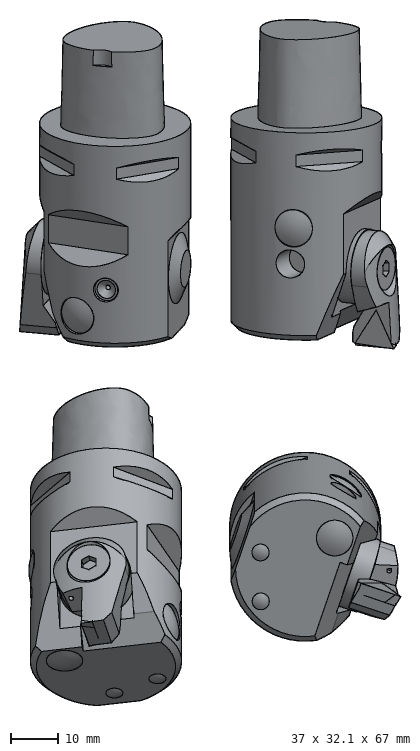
import cadquery as cq
import math


head_radius = 16.0
head_length = 45.1
bottom_chamfer = 1.3
reach = 2 * head_radius

shank_length = 19.0
shank_mean_radius = 11.0
shank_lobe = 0.75
shank_taper = 1 / 40
shank_points = 72
key_radius = 6.1 / 2
key_depth = 3.35
key_floor = 8.9

grip_distance = 14.15
grip_top = -4.8
grip_bottom = -7.3
grip_slope = 30
grip_angles = (45, 135, 225, 315)

flat_distance = 13.0
flat_top = -17.95
wrench_bottom = -24.2
wrench_angle = 260
dial_flat_distance = 13.95
dial_flat_top = -22.5
flat_slope = 45

axis_z = -31.0
ramp_angle = 18.9
steep_ramp_angle = 32.0
steep_ramp_start = -39.45
steep_ramp_edge_y = 3.55

slide_radius = 16.0 / 2
slide_seat_x = -9.65
arm_back_x = -14.1
arm_radius = 7.85
arm_tilt = 3.6
arm_crown_radius = 15.4
arm_crown_x = -19.4
arm_rim_x = -16.5
arm_rim_angle = 52
arm_rim_tilt = 6
arm_limit_x = -22.8
blade_back_x = -11.4
heel_top_z = -40.0
heel_bend = (-11.65, -43.8)
heel_bottom_z = -45.1
toe_bevel_top_z = -47.2
toe_bevel_bottom = (-12.05, -47.7)
blade_side_y = 1.2
blade_flank_angle = 11.5
blade_shoulder_z = -45.0
blade_foot = (-3.5, -47.2)
blade_tip_gap = 0.1
cheek_angle = 20
cheek_middle = (5.7, -38.0)
chin_corner_y = 4.5
chin_front_z = -38.1
chin_front_x = -19.4
chin_back_z = -39.9
coolant_hole_radius = 1.0 / 2
coolant_hole_x = -17.4
coolant_hole_y = 4.0
coolant_hole_top_z = -35.9

insert_edge = 9.05
insert_thickness = 2.35
insert_relief = 7
insert_lift = 3
insert_tip_x = -21.0
insert_tip_z = shank_length - 67

screw_radius = 9.2 / 2
screw_face_x = -18.6
screw_length = 2.7
socket_across_flats = 3.1
socket_depth = 1.7

plug_crown_radius = 9.4
plug_length = 4.0
side_plug_radius = 8.05 / 2
side_plug_offset = 15
front_plug_apex = 16.15
front_plug_z = -38.45
rear_plug_apex = 16.35
rear_plug_z = -20.7
side_plug_places = (
    (front_plug_apex, 270 - side_plug_offset, front_plug_z),
    (rear_plug_apex, 90 + side_plug_offset, rear_plug_z),
)
bottom_plug_radius = 7.7 / 2
bottom_plug_center = (-3.8, 8.2)
bottom_plug_rise = 0.8
button_radius = 3.6 / 2
button_rise = 0.5
button_centers = ((6.6, -9.8), (10.05, 0.2))

side_hole_radius = 6 / 2
side_hole_x = -3.4
side_hole_z = -28.4
side_hole_floor_y = 9.4

dial_radius = 7.6
dial_face_radius = 3.95
dial_face_x = 15.55
dial_seat_x = 12.6

nozzle_x = 2.5
nozzle_z = -32.0
nozzle_bore_radius = 5.2 / 2
nozzle_radius = 5.0 / 2
nozzle_mouth_radius = 2.0
nozzle_orifice_radius = 1.0 / 2
nozzle_face_y = -15.3
nozzle_cone_depth = 1.35
nozzle_length = 3.35


def cylinder(radius, start, direction, length):
    return cq.Workplane(cq.Solid.makeCylinder(radius, length, cq.Vector(*start), cq.Vector(*direction)))


def prism_along_y(points, y_start, y_end):
    """Extrude an (x, z) outline from y_start to y_end."""
    plane = cq.Workplane("XZ", origin=(0, y_start, 0))
    return plane.polyline(points).close().extrude(y_start - y_end)


def turned(points):
    """Revolve an (r, z) outline about the Z axis."""
    return cq.Workplane("XZ").polyline(points).close().revolve(360, (0, 0), (0, 1))


def domed_plug(radius, apex, crown_radius, length):
    """Round plug along Z with a spherical end that peaks at height apex."""
    rim = apex - crown_radius + math.sqrt(crown_radius**2 - radius**2)
    half_angle = math.asin(radius / crown_radius) / 2
    mid_r = crown_radius * math.sin(half_angle)
    mid_z = apex - crown_radius + crown_radius * math.cos(half_angle)
    profile = cq.Workplane("XZ").moveTo(0, apex - length).lineTo(radius, apex - length).lineTo(radius, rim)
    return profile.threePointArc((mid_r, mid_z), (0, apex)).close().revolve(360, (0, 0), (0, 1))


def aim_outward(shape, angle, z):
    """Turn a shape on the Z axis so that +Z points radially outward at the given angle and height."""
    return shape.rotate((0, 0, 0), (0, 1, 0), 90).rotate((0, 0, 0), (0, 0, 1), angle).translate((0, 0, z))


def flat_cutter(distance, top, bottom, slope, angle):
    """Cutter for a flat facing the given direction, with sloping runouts above and below."""
    depth = reach - distance
    rise = depth * math.tan(math.radians(slope))
    outline = [(distance, bottom), (distance, top), (reach, top + rise), (reach, bottom - rise)]
    return prism_along_y(outline, -reach, reach).rotate((0, 0, 0), (0, 0, 1), angle)


def shank_outline(mean_radius):
    """Three-lobed curve of constant width, with one lobe toward +Y."""
    points = []
    for i in range(shank_points):
        t = 2 * math.pi * i / shank_points
        along = mean_radius * math.cos(t) + shank_lobe * (2 * math.cos(2 * t) - math.cos(4 * t))
        across = mean_radius * math.sin(t) - shank_lobe * (2 * math.sin(2 * t) + math.sin(4 * t))
        points.append(cq.Vector(-across, along))
    return cq.Wire.assembleEdges([cq.Edge.makeSpline(points, periodic=True)])


def make_shank():
    base = shank_outline(shank_mean_radius)
    top = shank_outline(shank_mean_radius - shank_taper * shank_length)
    shank = cq.Workplane(cq.Solid.makeLoft([base, top.translate(cq.Vector(0, 0, shank_length))], True))
    key_start = (0, -key_floor - key_radius, shank_length - key_depth)
    return shank.cut(cylinder(key_radius, key_start, (0, 0, 1), key_depth))


def ramp_cutter(start_x, start_z, angle, y_start, y_end):
    """Remove what lies on the -X side of a plane leaning inward below (start_x, start_z)."""
    end_x = start_x + reach * math.tan(math.radians(angle))
    outline = [(start_x, start_z), (end_x, start_z - reach), (-reach, start_z - reach), (-reach, start_z)]
    return prism_along_y(outline, y_start, y_end)


def slide_seat_cutter():
    """Round seat for the slide, opened downward by a slot of the same width."""
    seat = cylinder(slide_radius, (slide_seat_x, 0, axis_z), (-1, 0, 0), reach)
    slot_start = cq.Vector(slide_seat_x - reach, -slide_radius, axis_z - reach)
    return seat.union(cq.Workplane(cq.Solid.makeBox(reach, 2 * slide_radius, reach, slot_start)))


def make_housing():
    head = cylinder(head_radius, (0, 0, -head_length), (0, 0, 1), head_length)
    head = head.faces("<Z").chamfer(bottom_chamfer)
    for angle in grip_angles:
        head = head.cut(flat_cutter(grip_distance, grip_top, grip_bottom, grip_slope, angle))
    below = -head_length - reach
    head = head.cut(flat_cutter(flat_distance, flat_top, below, flat_slope, 180))
    head = head.cut(flat_cutter(flat_distance, flat_top, wrench_bottom, flat_slope, wrench_angle))
    head = head.cut(flat_cutter(dial_flat_distance, dial_flat_top, below, flat_slope, 0))

    head = head.cut(ramp_cutter(-flat_distance, axis_z, ramp_angle, -reach, reach))
    steep_x = -flat_distance + (axis_z - steep_ramp_start) * math.tan(math.radians(ramp_angle))
    head = head.cut(ramp_cutter(steep_x, steep_ramp_start, steep_ramp_angle, -reach, steep_ramp_edge_y))
    head = head.cut(slide_seat_cutter())

    side_hole_start = (side_hole_x, side_hole_floor_y, side_hole_z)
    head = head.cut(cylinder(side_hole_radius, side_hole_start, (0, 1, 0), reach))
    nozzle_floor_y = nozzle_face_y + nozzle_length
    head = head.cut(cylinder(nozzle_bore_radius, (nozzle_x, nozzle_floor_y, nozzle_z), (0, -1, 0), reach))
    head = head.cut(cylinder(dial_radius, (dial_seat_x, 0, axis_z), (1, 0, 0), reach))

    for apex, angle, z in side_plug_places:
        bore = cylinder(side_plug_radius, (0, 0, apex - plug_length), (0, 0, 1), reach)
        head = head.cut(aim_outward(bore, angle, z))
    bottom_bore_start = (*bottom_plug_center, -head_length - bottom_plug_rise + plug_length)
    head = head.cut(cylinder(bottom_plug_radius, bottom_bore_start, (0, 0, -1), reach))

    button_crown = (button_radius**2 + button_rise**2) / (2 * button_rise)
    button = domed_plug(button_radius, button_rise, button_crown, 2 * button_rise)
    button = button.rotate((0, 0, 0), (1, 0, 0), 180)
    for x, y in button_centers:
        head = head.union(button.translate((x, y, -head_length)))
    return head.union(make_shank())


def make_slide():
    return cylinder(slide_radius, (slide_seat_x, 0, axis_z), (-1, 0, 0), slide_seat_x - arm_back_x)


def arm_outline():
    """Round head with a blade hanging below it, seen along X, as (y, z)."""
    flank = math.radians(blade_flank_angle)
    flank_start = (-arm_radius * math.cos(flank), axis_z - arm_radius * math.sin(flank))
    shoulder_y = flank_start[0] + (flank_start[1] - blade_shoulder_z) * math.tan(flank)
    cheek = math.radians(cheek_angle)
    cheek_start = (arm_radius * math.cos(cheek), axis_z - arm_radius * math.sin(cheek))
    outline = cq.Workplane("YZ", origin=(blade_back_x, 0, 0)).moveTo(*cheek_start)
    outline = outline.threePointArc((0, axis_z + arm_radius), flank_start)
    outline = outline.lineTo(shoulder_y, blade_shoulder_z).lineTo(*blade_foot)
    outline = outline.lineTo(blade_side_y, insert_tip_z + blade_tip_gap)
    outline = outline.lineTo(blade_side_y, chin_back_z).lineTo(chin_corner_y, chin_back_z)
    return outline.threePointArc(cheek_middle, cheek_start).close()


def arm_crown():
    """Crowned front: a cylinder that leans by arm_tilt."""
    axis_x = arm_crown_x + arm_crown_radius
    crown = cylinder(arm_crown_radius, (axis_x, 0, axis_z - reach), (0, 0, 1), 2 * reach)
    return crown.rotate((arm_crown_x, 0, axis_z), (arm_crown_x, 1, axis_z), arm_tilt)


def arm_rim_cutter():
    """Conical rim around the top of the round head, leaning by arm_rim_tilt."""
    tip_radius = 0.7
    tip_height = -arm_rim_x + (arm_radius - tip_radius) / math.tan(math.radians(arm_rim_angle))
    outer_radius = 2 * arm_radius
    cutter = turned([(tip_radius, tip_height), (arm_radius, -arm_rim_x), (outer_radius, -arm_rim_x),
                     (outer_radius, tip_height)])
    cutter = aim_outward(cutter, 180, axis_z)
    top_z = axis_z + arm_radius
    cutter = cutter.rotate((arm_rim_x, 0, top_z), (arm_rim_x, 1, top_z), arm_rim_tilt)
    upper_half = cq.Solid.makeBox(reach, reach, reach, cq.Vector(-reach, -reach / 2, axis_z))
    return cutter.intersect(cq.Workplane(upper_half))


def make_arm():
    arm = arm_outline().extrude(arm_limit_x - blade_back_x)
    side_profile = [(arm_back_x, axis_z + reach), (arm_back_x, heel_top_z), heel_bend,
                    (blade_back_x, heel_bottom_z), (blade_back_x, toe_bevel_top_z), toe_bevel_bottom,
                    (toe_bevel_bottom[0], insert_tip_z), (arm_limit_x, insert_tip_z),
                    (arm_limit_x, axis_z + reach)]
    arm = arm.intersect(prism_along_y(side_profile, -reach, reach))
    arm = arm.intersect(arm_crown())
    arm = arm.cut(arm_rim_cutter())
    chin_slope = (chin_front_z - chin_back_z) / (arm_back_x - chin_front_x)
    chin_limit_z = chin_back_z + chin_slope * (arm_back_x - arm_limit_x)
    chin_cut = [(arm_back_x, chin_back_z), (arm_limit_x, chin_limit_z), (arm_limit_x, chin_back_z)]
    arm = arm.cut(prism_along_y(chin_cut, blade_side_y, reach))
    hole_start = (coolant_hole_x, coolant_hole_y, coolant_hole_top_z)
    arm = arm.cut(cylinder(coolant_hole_radius, hole_start, (0, 0, -1), reach))
    recess_floor_x = screw_face_x + screw_length
    arm = arm.cut(cylinder(screw_radius, (recess_floor_x, 0, axis_z), (-1, 0, 0), reach))
    countersink = turned([(0, -screw_face_x), (screw_radius, -screw_face_x),
                          (screw_radius + screw_length, screw_length - screw_face_x),
                          (0, screw_length - screw_face_x)])
    return arm.cut(aim_outward(countersink, 180, axis_z))


def make_insert():
    """Triangular insert with relieved flanks, its rake face flush with the side of the blade."""
    corners = [(insert_tip_x, insert_tip_z)]
    for angle in (insert_lift, insert_lift + 60):
        corners.append((insert_tip_x + insert_edge * math.cos(math.radians(angle)),
                        insert_tip_z + insert_edge * math.sin(math.radians(angle))))
    plane = cq.Workplane("XZ", origin=(0, blade_side_y, 0))
    return plane.polyline(corners).close().extrude(insert_thickness, taper=insert_relief)


def make_arm_screw():
    head = cylinder(screw_radius, (screw_face_x, 0, axis_z), (1, 0, 0), screw_length)
    socket = cq.Workplane("YZ", origin=(screw_face_x, 0, axis_z))
    socket = socket.polygon(6, socket_across_flats / math.cos(math.pi / 6)).extrude(socket_depth)
    return head.cut(socket.rotate((0, 0, axis_z), (1, 0, axis_z), 30))


def make_side_plug(apex, angle, z):
    return aim_outward(domed_plug(side_plug_radius, apex, plug_crown_radius, plug_length), angle, z)


def make_bottom_plug():
    plug = domed_plug(bottom_plug_radius, head_length + bottom_plug_rise, plug_crown_radius, plug_length)
    return plug.rotate((0, 0, 0), (1, 0, 0), 180).translate((*bottom_plug_center, 0))


def make_dial():
    dial = turned([(0, dial_seat_x), (dial_radius, dial_seat_x), (dial_radius, dial_flat_distance),
                   (dial_face_radius, dial_face_x), (0, dial_face_x)])
    return aim_outward(dial, 0, axis_z)


def make_nozzle():
    face = -nozzle_face_y
    floor = face - nozzle_length
    nozzle = turned([(nozzle_orifice_radius, floor), (nozzle_radius, floor), (nozzle_radius, face),
                     (nozzle_mouth_radius, face), (nozzle_orifice_radius, face - nozzle_cone_depth)])
    return aim_outward(nozzle, 270, nozzle_z).translate((nozzle_x, 0, 0))


housing = make_housing()
slide = make_slide()
insert = make_insert()
arm = make_arm().cut(insert)
arm_screw = make_arm_screw()
side_plugs = [make_side_plug(*place) for place in side_plug_places]
bottom_plug = make_bottom_plug()
dial = make_dial()
nozzle = make_nozzle()

bodies = [housing, slide, arm, insert, arm_screw, *side_plugs, bottom_plug, dial, nozzle]
result = cq.Compound.makeCompound([body.solids().val() for body in bodies])